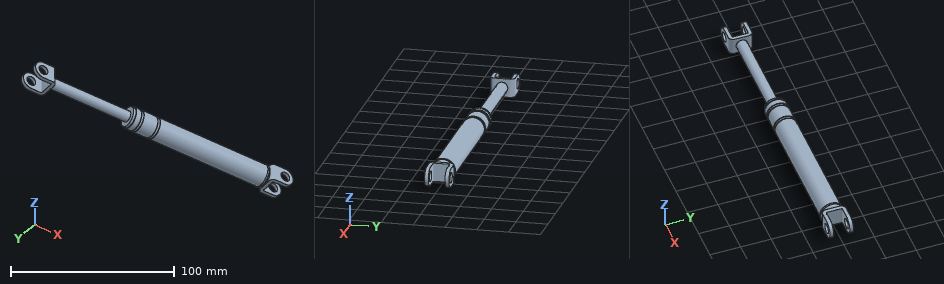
import cadquery as cq

TOTAL_LENGTH = 193.0
HALF_LENGTH = TOTAL_LENGTH / 2

FORK_LENGTH = 16.0
FORK_WIDTH = 15.5
FORK_HEIGHT = 12.0
FORK_THICKNESS = 2.5
FORK_BEND_RADIUS = 3.0
FORK_INNER_RADIUS = FORK_BEND_RADIUS - FORK_THICKNESS
EYE_DIAMETER = 6.4

ROD_DIAMETER = 7.3
EXPOSED_ROD_LENGTH = 58.0

BARREL_DIAMETER = 14.7
BARREL_START = FORK_LENGTH + EXPOSED_ROD_LENGTH - HALF_LENGTH
BARREL_END = HALF_LENGTH - FORK_LENGTH
BARREL_LENGTH = BARREL_END - BARREL_START
COLLAR_DIAMETER = 13.5
COLLAR_LENGTH = 1.7
GROOVE_WIDTH = 1.7
GROOVE_DEPTH = 0.4
GROOVE_FLOOR_DIAMETER = BARREL_DIAMETER - 2 * GROOVE_DEPTH
GROOVE_OFFSETS = (5.8, 18.0)
BORE_DEPTH = 19.9

BEAD_DIAMETER = 15.5
BEAD_RADIUS = 0.5
CAP_RADIUS = 2.3
BEAD_X = BARREL_END - CAP_RADIUS


def cylinder_along_x(start, length, diameter):
    """Solid cylinder on the X axis."""
    return cq.Workplane("YZ", origin=(start, 0, 0)).circle(diameter / 2).extrude(length)


def make_fork():
    """Fork with its outer back face at X = 0 and its arms pointing along +X."""
    body = cq.Workplane("XY").box(FORK_LENGTH, FORK_WIDTH, FORK_HEIGHT, centered=(False, True, True))
    body = body.edges("|Z and <X").fillet(FORK_BEND_RADIUS)
    gap = (
        cq.Workplane("XY", origin=(FORK_THICKNESS, 0, 0))
        .box(FORK_LENGTH, FORK_WIDTH - 2 * FORK_THICKNESS, FORK_HEIGHT, centered=(False, True, True))
        .edges("|Z and <X")
        .fillet(FORK_INNER_RADIUS)
    )
    tip_radius = FORK_HEIGHT / 2
    eye_x = FORK_LENGTH - tip_radius
    outline = (
        cq.Workplane("XZ")
        .moveTo(0, -tip_radius)
        .lineTo(eye_x, -tip_radius)
        .threePointArc((FORK_LENGTH, 0), (eye_x, tip_radius))
        .lineTo(0, tip_radius)
        .close()
        .extrude(FORK_WIDTH / 2, both=True)
    )
    eye = (
        cq.Workplane("XZ", origin=(eye_x, 0, 0))
        .circle(EYE_DIAMETER / 2)
        .extrude(FORK_WIDTH / 2, both=True)
    )
    return body.cut(gap).intersect(outline).cut(eye)


def make_ring(start, width, inner_diameter):
    """Ring that reduces the barrel to the inner diameter over the given width."""
    ring = cylinder_along_x(start, width, BARREL_DIAMETER)
    return ring.cut(cylinder_along_x(start, width, inner_diameter))


def make_bead():
    """Round-section bead running around the barrel."""
    return (
        cq.Workplane("XY", origin=(BEAD_X, BEAD_DIAMETER / 2 - BEAD_RADIUS, 0))
        .circle(BEAD_RADIUS)
        .revolve(360, (0, BEAD_RADIUS - BEAD_DIAMETER / 2, 0), (1, BEAD_RADIUS - BEAD_DIAMETER / 2, 0))
    )


def make_rod():
    """Piston rod with the fork on its outer end."""
    fork_back = FORK_LENGTH - HALF_LENGTH
    fork = make_fork().rotate((0, 0, 0), (0, 0, 1), 180).translate((fork_back, 0, 0))
    shaft_length = BARREL_START + BORE_DEPTH - fork_back
    return fork.union(cylinder_along_x(fork_back, shaft_length, ROD_DIAMETER))


def make_barrel():
    """Grooved barrel with its collar, blind rod bore, end bead and fork."""
    barrel = cylinder_along_x(BARREL_START, BARREL_LENGTH, BARREL_DIAMETER)
    barrel = barrel.faces(">X").edges().fillet(CAP_RADIUS)
    barrel = barrel.cut(make_ring(BARREL_START, COLLAR_LENGTH, COLLAR_DIAMETER))
    for offset in GROOVE_OFFSETS:
        barrel = barrel.cut(make_ring(BARREL_START + offset, GROOVE_WIDTH, GROOVE_FLOOR_DIAMETER))
    barrel = barrel.union(make_bead())
    barrel = barrel.union(make_fork().translate((BARREL_END, 0, 0)))
    return barrel.cut(cylinder_along_x(BARREL_START, BORE_DEPTH, ROD_DIAMETER))


rod = make_rod()
barrel = make_barrel()

result = cq.Compound.makeCompound([rod.val(), barrel.val()])